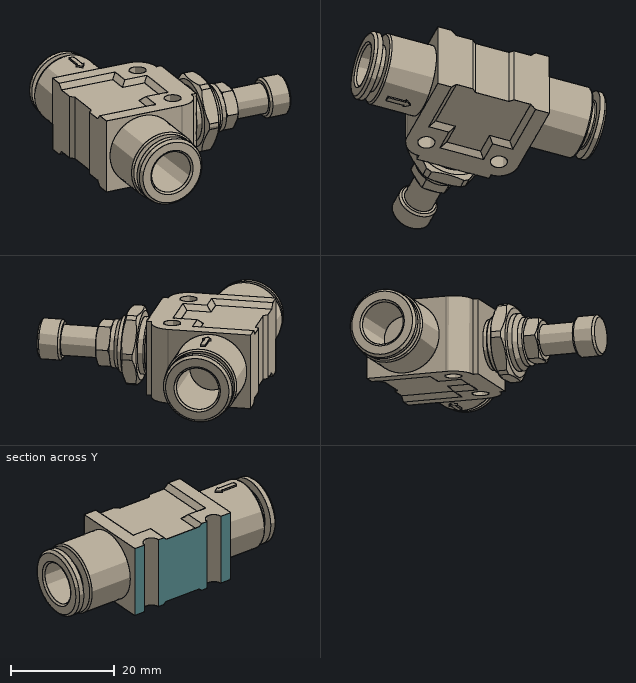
import cadquery as cq
import math

half_length = 24.0

body_thickness = 15.0
body_bottom = -7.8
body_top = 13.6
hole_x = 7.5
hole_y = 8.5
hole_diameter = 3.25
shoulder_radius = 4.05
body_half_width = hole_x + shoulder_radius
shoulder_top = hole_y + shoulder_radius

pocket_depth = 1.0
pocket_half_width = 8.7
pocket_step_y = 4.2
pocket_neck_half_width = 4.5
pocket_top = 9.0

notch_depth = 0.75
notch_floor_half_width = 3.45

tube_radius = 7.05
tube_end = 21.0
tube_chamfer = 0.35
release_radius = 6.75
release_thickness = 1.55
release_chamfer = 0.55
neck_radius = 4.65
neck_flare = 0.25
bore_radius = 4.2
bore_chamfer = 0.4

arrow_tail_x = -18.95
arrow_head_x = -15.3
arrow_tip_x = -14.05
arrow_shaft_half_width = 0.5
arrow_head_half_width = 0.85
arrow_height = 7.4

knob_end = 36.0
knob_start = 31.45
knob_radius = 4.0
knob_chamfer = 0.45
rod_radius = 3.0
lock_nut_end = 24.45
lock_nut_start = 21.5
lock_nut_flats = 8.0
lock_nut_face_radius = 3.85
lock_nut_chamfer = 0.35
collar_radius = 4.75
collar_start = 20.6
thread_radius = 5.55
thread_start = 14.45
thread_chamfer = 0.25
collar_cone = thread_radius - collar_radius
panel_nut_end = 18.8
panel_nut_start = 15.8
panel_nut_flats = 14.0
panel_nut_corner_radius = 7.8
panel_nut_face_radius = 6.7
panel_nut_chamfer = 0.55
relief_radius = 4.95


def extrude_both(outline, depth):
    """Extrude an XY outline symmetrically about Z = 0."""
    return outline.extrude(depth / 2, both=True)


def pocket_part(half_width, top):
    """Tapered cutter in the +Z face; it runs out past the body bottom so that end stays open."""
    bottom = body_bottom - pocket_depth
    return (
        cq.Workplane("XY", origin=(0, (top + bottom) / 2, body_thickness / 2))
        .rect(2 * half_width, top - bottom)
        .extrude(-pocket_depth, taper=45)
    )


def make_body():
    arc_middle = shoulder_radius * math.sqrt(0.5)
    outline = (
        cq.Workplane("XY")
        .moveTo(-body_half_width, body_bottom)
        .lineTo(-body_half_width, hole_y)
        .threePointArc((-hole_x - arc_middle, hole_y + arc_middle), (-hole_x, shoulder_top))
        .lineTo(-hole_x, body_top)
        .lineTo(hole_x, body_top)
        .lineTo(hole_x, shoulder_top)
        .threePointArc((hole_x + arc_middle, hole_y + arc_middle), (body_half_width, hole_y))
        .lineTo(body_half_width, body_bottom)
        .close()
    )
    holes = cq.Workplane("XY").pushPoints([(-hole_x, hole_y), (hole_x, hole_y)]).circle(hole_diameter / 2)
    notch_rim_half_width = notch_floor_half_width + notch_depth
    notch_floor_y = body_bottom + notch_depth
    notch = (
        cq.Workplane("XY")
        .moveTo(-notch_rim_half_width, body_bottom)
        .lineTo(-notch_floor_half_width, notch_floor_y)
        .lineTo(notch_floor_half_width, notch_floor_y)
        .lineTo(notch_rim_half_width, body_bottom)
        .close()
    )
    body = extrude_both(outline, body_thickness)
    for cutter in (holes, notch):
        body = body.cut(extrude_both(cutter, body_thickness))
    pocket = pocket_part(pocket_half_width, pocket_step_y)
    pocket = pocket.union(pocket_part(pocket_neck_half_width, pocket_top))
    return body.cut(pocket).cut(pocket.mirror("XY"))


def make_port():
    """Right-hand tube, neck and release ring; the bore stops level with the side of the body."""
    ring_back = half_length - release_thickness
    profile = [
        (body_half_width, bore_radius),
        (body_half_width, tube_radius),
        (tube_end - tube_chamfer, tube_radius),
        (tube_end, tube_radius - tube_chamfer),
        (tube_end, neck_radius),
        (ring_back - neck_flare, neck_radius),
        (ring_back, neck_radius + neck_flare),
        (ring_back, release_radius),
        (half_length - release_chamfer, release_radius),
        (half_length, release_radius - release_chamfer),
        (half_length, bore_radius + bore_chamfer),
        (half_length - bore_chamfer, bore_radius),
    ]
    return cq.Workplane("XY").polyline(profile).close().revolve(360, (0, 0, 0), (1, 0, 0))


def make_arrow():
    """Flow arrow on the +Z side of the left tube, rooted inside the tube wall."""
    root_z = (bore_radius + tube_radius) / 2
    return (
        cq.Workplane("XY", origin=(0, 0, root_z))
        .polyline([
            (arrow_tail_x, -arrow_shaft_half_width),
            (arrow_head_x, -arrow_shaft_half_width),
            (arrow_head_x, -arrow_head_half_width),
            (arrow_tip_x, 0),
            (arrow_head_x, arrow_head_half_width),
            (arrow_head_x, arrow_shaft_half_width),
            (arrow_tail_x, arrow_shaft_half_width),
        ])
        .close()
        .extrude(arrow_height - root_z)
    )


def turned_bar(start, end, radius, start_chamfer=0.0, end_chamfer=0.0):
    """Cylinder along Y with optional 45 degree chamfers at its ends."""
    bar = cq.Workplane("XZ", origin=(0, start, 0)).circle(radius).extrude(start - end)
    if start_chamfer:
        bar = bar.faces("<Y").chamfer(start_chamfer)
    if end_chamfer:
        bar = bar.faces(">Y").chamfer(end_chamfer)
    return bar


def hex_nut(start, end, flats, corner_radius, face_radius, chamfer):
    """Hexagon along Y, one flat facing +Z, with its corners turned down and both ends chamfered."""
    corners = flats / math.cos(math.pi / 6)
    hexagon = cq.Workplane("XZ", origin=(0, start, 0)).polygon(6, corners).extrude(start - end)
    envelope = (
        cq.Workplane("XY")
        .polyline([
            (0, start),
            (face_radius, start),
            (corner_radius, start + chamfer),
            (corner_radius, end - chamfer),
            (face_radius, end),
            (0, end),
        ])
        .close()
        .revolve(360, (0, 0, 0), (0, 1, 0))
    )
    return hexagon.intersect(envelope)


def make_stem():
    knob = turned_bar(knob_start, knob_end, knob_radius, knob_chamfer, knob_chamfer)
    rod = turned_bar(lock_nut_end, knob_start, rod_radius)
    lock_nut = hex_nut(
        lock_nut_start,
        lock_nut_end,
        lock_nut_flats,
        lock_nut_flats / math.sqrt(3),
        lock_nut_face_radius,
        lock_nut_chamfer,
    )
    collar = turned_bar(collar_start, lock_nut_start, collar_radius)
    thread = turned_bar(thread_start, collar_start, thread_radius, thread_chamfer, collar_cone)
    panel_nut = hex_nut(
        panel_nut_start,
        panel_nut_end,
        panel_nut_flats,
        panel_nut_corner_radius,
        panel_nut_face_radius,
        panel_nut_chamfer,
    )
    relief = turned_bar(body_top, thread_start, relief_radius)
    return relief.union(thread).union(panel_nut).union(collar).union(lock_nut).union(rod).union(knob)


port = make_port()
arrow = make_arrow()
result = make_body().union(make_stem())
for feature in (port, port.mirror("YZ"), arrow, arrow.mirror("XY")):
    result = result.union(feature)